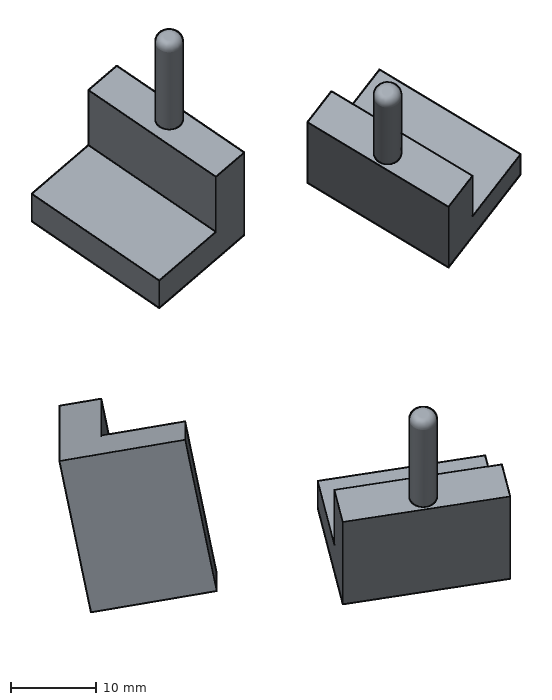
import cadquery as cq

width = 20.0
depth = 15.0
block_height = 15.0
wall = 5.0
total_height = 30.0
pin_diameter = 3.3
pin_tip_radius = 1.0
pin_back_offset = 2.0


def make_bracket():
    """L-shaped block: a flat base with an upright wall along its back edge."""
    base = cq.Workplane("XY").box(width, depth, wall, centered=(True, False, False))
    upright = (
        cq.Workplane("XY")
        .box(width, wall, block_height, centered=(True, False, False))
        .translate((0, depth - wall, 0))
    )
    return base.union(upright)


def make_pin():
    """Round pin with a rounded tip, standing on top of the upright wall."""
    return (
        cq.Workplane("XY", origin=(0, depth - pin_back_offset, block_height))
        .circle(pin_diameter / 2)
        .extrude(total_height - block_height)
        .faces(">Z")
        .edges()
        .fillet(pin_tip_radius)
    )


result = make_bracket().union(make_pin())